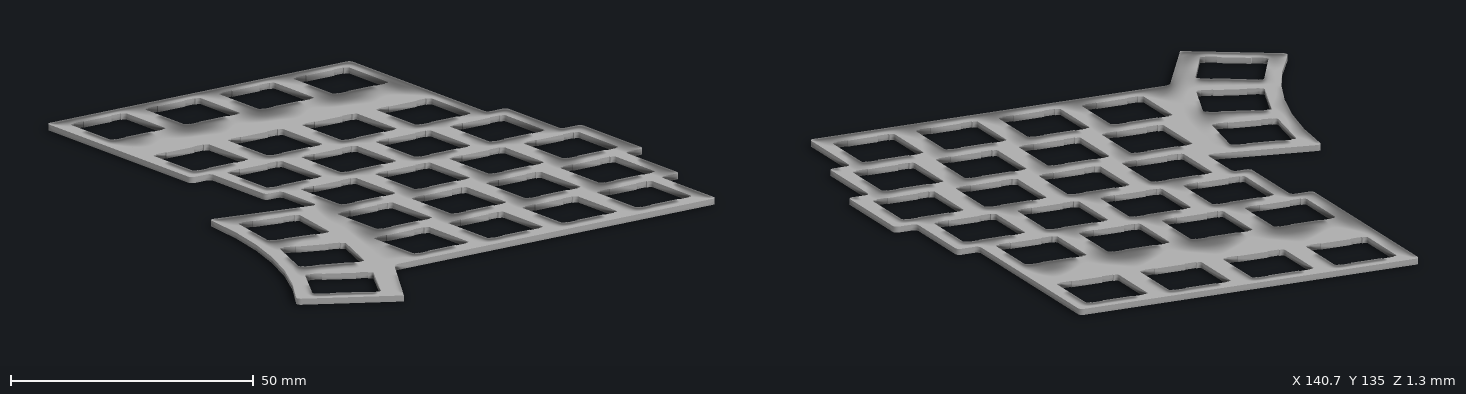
import cadquery as cq
import math

plate_thickness = 1.3
plate_tilt = -10

grid_width = 104.7
column_slots = [0, 1.5, 2.5, 3.5, 4.5, 5.5]
column_steps = [0, 0, 1, 2, 1, 0]
fan_side_column = 3
row_count = 4
key_pitch = grid_width / column_slots[-1]
stagger = key_pitch / 4
cutout_side = 14.2
cutout_radius = 0.5
notch_height = 2.5
notch_depth = 0.3
notch_offset = 4.8

left_margin = 10.5
right_margin = 11.3
top_margin = 10.3
bottom_margin = 10.5
fan_side_bottom_margin = 11.1
left_step_margin = 11.0
right_step_margin = 10.8
edge_rise = 10.0

fan_center_x = 59.1
fan_center_y = -138.1
fan_radius = 122.8
fan_angles = [10, 20, 30]
fan_inner_margin = 10.4
fan_outer_margin = 11.4
fan_outer_slope = 31.5
fan_end_margin = 10.7
fan_start_angle = 3.7
fan_start_x = 71.1

corner_radius = 1.0
elbow_radius = 2.1

column_x = [slot * key_pitch for slot in column_slots]
column_y = [step * stagger for step in column_steps]
edge_shift = [step * edge_rise / max(column_steps) for step in column_steps]
grid_height = (row_count - 1) * key_pitch


def fan_point(radius, angle, sideways=0):
    """Point at a radius and clockwise angle on the fan, moved sideways along the tangent."""
    turn = math.radians(angle)
    return (
        fan_center_x + radius * math.sin(turn) + sideways * math.cos(turn),
        fan_center_y + radius * math.cos(turn) - sideways * math.sin(turn),
    )


def top_edge_points():
    """Stepped upper edge from left to right; each step lies beside the taller column."""
    right_edge = column_x[-1] + right_margin
    points = [(-left_margin, grid_height + top_margin)]
    for i in range(len(column_x) - 1):
        level = edge_shift[i] + grid_height + top_margin
        next_level = edge_shift[i + 1] + grid_height + top_margin
        if next_level > level:
            step_x = column_x[i + 1] - left_step_margin
        elif next_level < level:
            step_x = column_x[i] + right_step_margin
        else:
            continue
        points += [(step_x, level), (step_x, next_level)]
    points.append((right_edge, edge_shift[-1] + grid_height + top_margin))
    return points


def bottom_edge_points():
    """Stepped lower edge from the thumb fan back to the left side."""
    level = column_y[fan_side_column] - fan_side_bottom_margin
    points = [(fan_start_x, level)]
    for i in range(fan_side_column - 1, 0, -1):
        step_x = column_x[i] + right_step_margin
        next_level = edge_shift[i] - bottom_margin
        points += [(step_x, level), (step_x, next_level)]
        level = next_level
    points.append((-left_margin, -bottom_margin))
    return points


def tip_point():
    """Outer far corner beside the last thumb key."""
    return fan_point(fan_radius + fan_outer_margin, fan_angles[-1], fan_end_margin)


def elbow_point():
    """Where the right side of the grid meets the outer edge of the last thumb key."""
    right_edge = column_x[-1] + right_margin
    tip_x, tip_y = tip_point()
    return right_edge, tip_y + math.tan(math.radians(fan_outer_slope)) * (tip_x - right_edge)


def plate_blank():
    """Outline of the whole plate with rounded corners; only the tip of the fan stays sharp."""
    inner_radius = fan_radius - fan_inner_margin
    fan_end_angle = fan_angles[-1] + math.degrees(math.asin(fan_end_margin / inner_radius))
    fan_middle_angle = (fan_start_angle + fan_end_angle) / 2
    elbow = elbow_point()
    tip = tip_point()
    blank = (
        cq.Workplane("XY")
        .polyline(top_edge_points() + [elbow, tip, fan_point(inner_radius, fan_end_angle)])
        .threePointArc(fan_point(inner_radius, fan_middle_angle), fan_point(inner_radius, fan_start_angle))
    )
    for point in bottom_edge_points():
        blank = blank.lineTo(*point)
    blank = blank.close().extrude(plate_thickness)

    elbow_edge = cq.selectors.NearestToPointSelector((*elbow, plate_thickness / 2))
    tip_edge = cq.selectors.NearestToPointSelector((*tip, plate_thickness / 2))
    upright_edges = cq.selectors.ParallelDirSelector(cq.Vector(0, 0, 1))
    blank = blank.edges(upright_edges - elbow_edge - tip_edge).fillet(corner_radius)
    return blank.edges(elbow_edge).fillet(elbow_radius)


def key_cutout_shape():
    """Rounded square with two shallow notches on its left and right sides."""
    square = (
        cq.Workplane("XY")
        .rect(cutout_side, cutout_side)
        .extrude(plate_thickness)
        .edges("|Z")
        .fillet(cutout_radius)
    )
    notches = (
        cq.Workplane("XY")
        .pushPoints([(0, notch_offset), (0, -notch_offset)])
        .rect(cutout_side + 2 * notch_depth, notch_height)
        .extrude(plate_thickness)
    )
    return square.union(notches)


key_cutout = key_cutout_shape()
plate = plate_blank()

for x, y in zip(column_x, column_y):
    for row in range(row_count):
        plate = plate.cut(key_cutout.translate((x, y + row * key_pitch, 0)))

for angle in fan_angles:
    turned_cutout = key_cutout.rotate((0, 0, 0), (0, 0, 1), -angle)
    plate = plate.cut(turned_cutout.translate((*fan_point(fan_radius, angle), 0)))

plate = plate.rotate((0, 0, 0), (0, 0, 1), plate_tilt)
outline_center = plate.val().BoundingBox().center
result = plate.translate((-outline_center.x, -outline_center.y, 0))